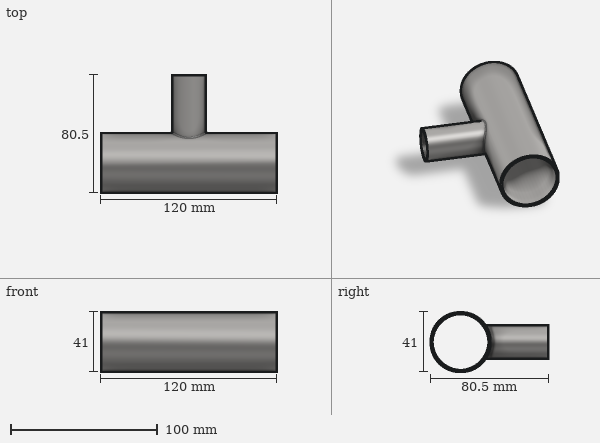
import cadquery as cq

run_length = 120.0
run_diameter = 41.0
run_bore = 38.0
wall = (run_diameter - run_bore) / 2

branch_diameter = 23.0
branch_bore = branch_diameter - 2 * wall
branch_reach = 60.0

junction_fillet = 1.0


def run_cylinder(diameter):
    """Full-length cylinder on the run axis."""
    return cq.Workplane("YZ").circle(diameter / 2).extrude(run_length / 2, both=True)


def branch_cylinder(diameter):
    """Cylinder from the run axis to the open end of the branch."""
    return cq.Workplane("XZ").circle(diameter / 2).extrude(-branch_reach)


def junction_box():
    """Box that holds the junction edge but neither pipe's end edges."""
    reach = run_diameter / 2
    return cq.selectors.BoxSelector((-reach, 0, -reach), (reach, reach, reach))


body = run_cylinder(run_diameter).union(branch_cylinder(branch_diameter))
body = body.edges(junction_box()).fillet(junction_fillet)

result = body.cut(run_cylinder(run_bore)).cut(branch_cylinder(branch_bore))